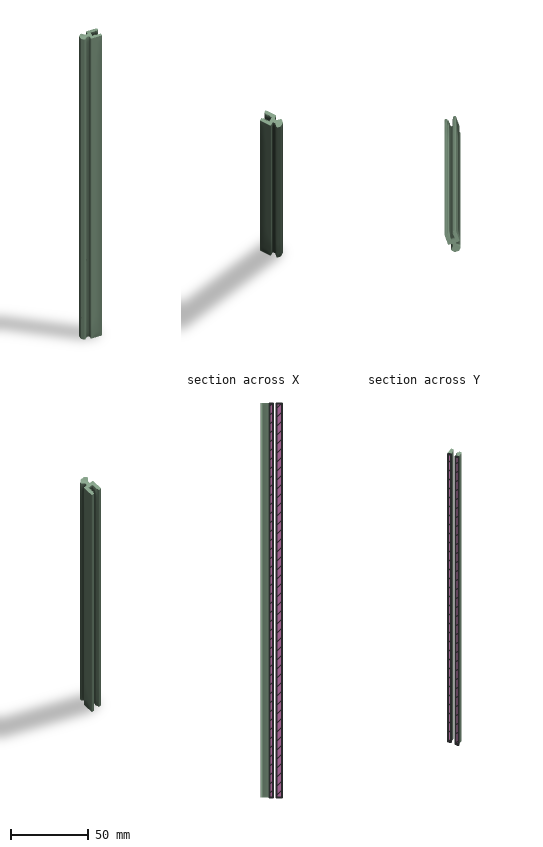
import cadquery as cq

width = 8.0
depth = 14.0
length = 256.0

channel_depth = 8.0
channel_corner_radius = 0.5
slot_width = 4.0
slot_depth = 5.8
tooth_height = 0.7
tooth_count = 7
smooth_mouth_depth = 1.2
slot_mouth_radius = 0.4

neck_width = 2.5
neck_fillet = 0.5
head_width = 6.3
head_side_height = 0.7
head_front_width = 3.0
head_front_radius = 0.5

half_width = width / 2
half_slot = slot_width / 2
half_neck = neck_width / 2
half_head = head_width / 2
half_head_front = head_front_width / 2

back = depth / 2
front = -depth / 2
slot_floor = back - slot_depth
channel_base = back - channel_depth
head_side_front = front + half_head - half_head_front
head_side_back = head_side_front + head_side_height
neck_front = head_side_back + half_head - half_neck


def tooth_points():
    """Zigzag along the +X slot wall, from the slot floor toward the mouth."""
    pitch = (slot_depth - smooth_mouth_depth) / tooth_count
    points = []
    for index in range(tooth_count):
        tooth_start = slot_floor + index * pitch
        points.append((half_slot, tooth_start))
        points.append((half_slot - tooth_height, tooth_start + pitch / 2))
    return points


def extruded_profile():
    """Sharp-cornered profile: the +X half outline mirrored about the YZ plane."""
    half_outline = [
        (0, slot_floor),
        *tooth_points(),
        (half_slot, back - smooth_mouth_depth),
        (half_slot, back),
        (half_width, back),
        (half_width, channel_base),
        (half_neck, channel_base),
        (half_neck, neck_front),
        (half_head, head_side_back),
        (half_head, head_side_front),
        (half_head_front, front),
        (0, front),
    ]
    return cq.Workplane("XY").polyline(half_outline).mirrorY().extrude(length)


def round_corner_pair(body, x, y, radius):
    """Fillet the two lengthwise edges at (x, y) and (-x, y)."""
    for corner_x in (x, -x):
        edge = cq.selectors.NearestToPointSelector((corner_x, y, length / 2))
        body = body.edges("|Z").edges(edge).fillet(radius)
    return body


result = extruded_profile()
result = round_corner_pair(result, half_slot, back, slot_mouth_radius)
result = round_corner_pair(result, half_width, back, channel_corner_radius)
result = round_corner_pair(result, half_width, channel_base, channel_corner_radius)
result = round_corner_pair(result, half_neck, channel_base, neck_fillet)
result = round_corner_pair(result, half_neck, neck_front, neck_fillet)
result = round_corner_pair(result, half_head_front, front, head_front_radius)